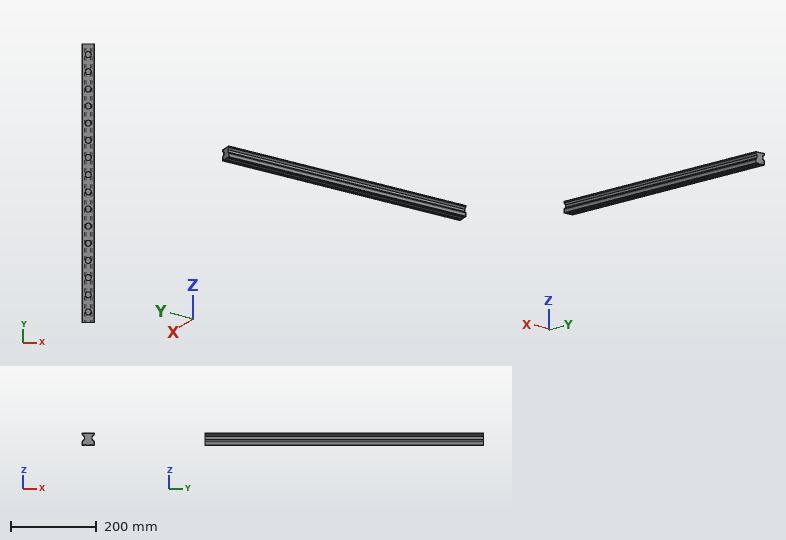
import cadquery as cq

RAIL_WIDTH = 28.0
RAIL_LENGTH = 650.0
RAIL_HEIGHT = 28.0

EDGE_CHAMFER = 0.6
NECK_HALF_WIDTH = 9.3
NECK_TOP_Z = 20.0
NECK_BOTTOM_Z = 14.0
RACEWAY_RUN = 4.3
FOOT_SIDE_TOP_Z = 7.5
HEAD_SIDE_BOTTOM_Z = 26.0

GROOVE_CENTRE_X = 7.0
GROOVE_WIDTH = 3.0
GROOVE_DEPTH = 1.0

CAP_COUNT = 16
CAP_PITCH = 40.0
CAP_DIAMETER = 14.0
CAP_RECESS = 0.3


def rail_body():
    """Symmetric rail profile extruded along Y, centred on the origin in Y."""
    half_width = RAIL_WIDTH / 2
    raceway_x = NECK_HALF_WIDTH + RACEWAY_RUN
    right_side = [
        (half_width - EDGE_CHAMFER, 0),
        (half_width, EDGE_CHAMFER),
        (half_width, FOOT_SIDE_TOP_Z),
        (raceway_x, NECK_BOTTOM_Z - RACEWAY_RUN),
        (NECK_HALF_WIDTH, NECK_BOTTOM_Z),
        (NECK_HALF_WIDTH, NECK_TOP_Z),
        (raceway_x, NECK_TOP_Z + RACEWAY_RUN),
        (half_width, HEAD_SIDE_BOTTOM_Z),
        (half_width, RAIL_HEIGHT - EDGE_CHAMFER),
        (half_width - EDGE_CHAMFER, RAIL_HEIGHT),
    ]
    left_side = [(-x, z) for x, z in reversed(right_side)]
    profile = cq.Workplane("XZ").polyline(right_side + left_side).close()
    return profile.extrude(RAIL_LENGTH / 2, both=True)


def underside_grooves():
    """Pair of rectangular grooves along the full length of the underside."""
    return (
        cq.Workplane("XY")
        .pushPoints([(-GROOVE_CENTRE_X, 0), (GROOVE_CENTRE_X, 0)])
        .rect(GROOVE_WIDTH, RAIL_LENGTH)
        .extrude(GROOVE_DEPTH)
    )


def cap_recesses():
    """Evenly spaced shallow round recesses centred along the top face."""
    return (
        cq.Workplane("XY", origin=(0, 0, RAIL_HEIGHT - CAP_RECESS))
        .rarray(1, CAP_PITCH, 1, CAP_COUNT)
        .circle(CAP_DIAMETER / 2)
        .extrude(CAP_RECESS)
    )


result = rail_body().cut(underside_grooves()).cut(cap_recesses())